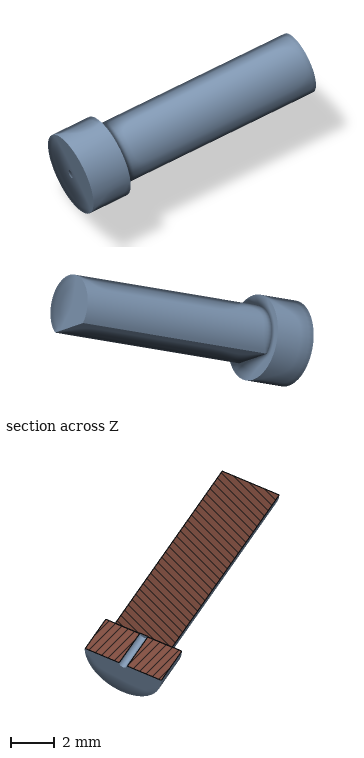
import cadquery as cq

total_length = 12.3
head_diameter = 4.0
head_length = 2.0
shaft_diameter = 3.0
flat_depth = 1.0
bore_diameter = 0.4

shaft_length = total_length - head_length


def cylinder_along_y(diameter, start_y, length):
    """Solid cylinder on the Y axis, from start_y toward +Y."""
    plane = cq.Workplane("XZ", origin=(0, start_y, 0))
    return plane.circle(diameter / 2).extrude(-length)


def make_head():
    """Round head with a small central bore through to the shaft's end face."""
    head = cylinder_along_y(head_diameter, 0, head_length)
    return head.cut(cylinder_along_y(bore_diameter, 0, head_length))


def make_shaft():
    """Round shaft with a flat along its underside; its end face closes the bore."""
    round_shaft = cylinder_along_y(shaft_diameter, head_length, shaft_length)
    below_flat = cq.Workplane("XY", origin=(0, head_length, -flat_depth)).box(
        shaft_diameter, shaft_length, shaft_diameter, centered=(True, False, False)
    ).translate((0, 0, -shaft_diameter))
    return round_shaft.cut(below_flat)


head = make_head()
shaft = make_shaft()

result = cq.Compound.makeCompound([head.val(), shaft.val()])